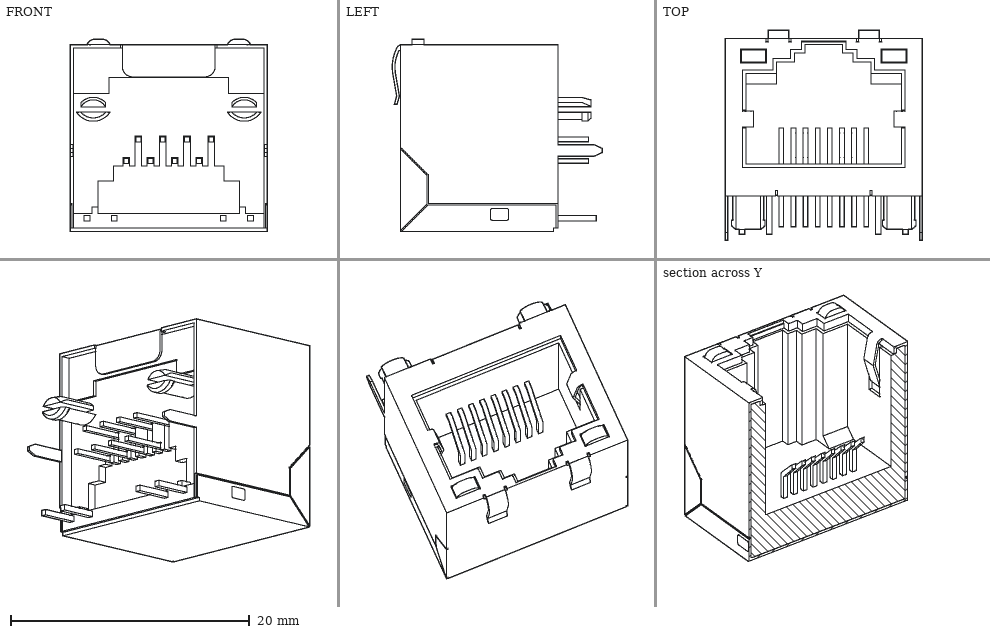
import cadquery as cq
import math


WIDTH = 16.5
DEPTH = 13.2
HEIGHT = 15.65
WALL = 0.3
SKIN = 0.14
SEAM_WIDTH = 0.1
SEAM_TOP = 7.0
FOLD_REACH = 2.29
FLAP_SETBACK = 0.15
FLOOR_SETBACK = 0.37
LIP_DROP = 0.74

FRONT_FLAP_WIDTH = 7.77
FRONT_FLAP_BOTTOM = 12.95
FRONT_FLAP_SHEET = 0.21
FRONT_FLAP_CORNER = 0.88
FRONT_FLAP_BEND = 0.33
RELIEF_WIDTH = 0.14

TAB_SHEET = 0.23
TAB_LENGTH = 3.71
TAB_CENTRE_Z = 6.79
TAB_WIDTH = 0.99
TAB_POINT = 0.69
TAB_TIP_WIDTH = 0.35

REAR_SPRING_X = 3.78
REAR_SPRING_WIDTH = 1.72
REAR_SPRING_SHEET = 0.25
REAR_SPRING_BULGE = 0.69
REAR_NOTCH_WIDTH = 0.2
REAR_NOTCH_DEPTH = 0.26

SIDE_SPRING_Y = 6.44
SIDE_SPRING_WIDTH = 1.34
SIDE_SPRING_SHEET = 0.21
SIDE_SPRING_BEND = 0.56
SIDE_SPRING_KINK = 13.3
SIDE_SPRING_REACH = 0.91
SIDE_SPRING_END = 10.9

WINDOW_CENTRE = (4.89, 1.45)
WINDOW_SIZE = (1.53, 0.99)
WINDOW_CORNER = 0.15

FACE_Y = 1.09
BLOCK_Y = 0.83
BLOCK_BOTTOM = 11.57
BLOCK_MIDDLE_BOTTOM = 12.88
BLOCK_NOTCH_WIDTH = 10.03
FOOT_Y = 0.07
FOOT_TOP = 1.51
FOOT_POST_WIDTH = 0.53
FOOT_POST_TOP = 2.04

CAVITY_FRONT = 2.67
CAVITY_STEPS = [(6.49, 10.24), (3.95, 11.22), (2.46, 11.96), (1.55, 12.68)]
CAVITY_FLOOR = 4.0
RAMP_SIZE = 0.85
SPRING_SLOT_CLEARANCE = 0.09
SPRING_SLOT_BOTTOM = 10.03

POCKET_BACK = 1.86
POCKET_HALF_WIDTH = 5.91
POCKET_TOP = 4.22
POCKET_STEP_HALF_WIDTH = 4.63
POCKET_STEP_TOP = 5.5

CONTACT_COUNT = 8
CONTACT_PITCH = 1.017
CONTACT_SIZE = 0.4
PIN_END_Y = -2.57
PIN_ROW_Z = (5.91, 7.72)
PIN_SLOT_WIDTH = 0.56
PIN_SLOT_MARGIN = 0.07
BLADE_TOP = 8.8
BLADE_FLAT = 0.55
BLADE_BACK = 5.68
BLADE_ROUND = 0.63

SHELL_PIN_X = (4.55, 6.85)
SHELL_PIN_SIZE = 0.47
SHELL_PIN_Z = 1.13
SHELL_PIN_END_Y = -3.2

PEG_X = 6.31
PEG_END_Y = -2.78
PEG_TIP_Y = -2.0
PEG_TIP_DROP = 0.21
UPPER_PEG_BOTTOM = 10.45
UPPER_PEG_TOP = 11.24
UPPER_PEG_WIDTH = 2.04
UPPER_PEG_SIDE = 0.35
LOWER_PEG_TOP = 10.0
LOWER_PEG_WIDTH = 2.6
LOWER_PEG_DEPTH = 0.65
PEG_LIP_WIDTH = 2.81
PEG_LIP_DEPTH = 0.77
PEG_LIP_CHAMFER = 0.28

LATCH_X = 5.88
LATCH_Y = 11.71
LATCH_WIDTH = 2.04
LATCH_DEPTH = 1.02
LATCH_TOP = 16.11
LATCH_ROUND = 0.74
LATCH_GAP = 0.07

HALF_WIDTH = WIDTH / 2
INNER_HALF = HALF_WIDTH - WALL
CEILING = HEIGHT - WALL
LIP_BOTTOM = HEIGHT - LIP_DROP
OPENING_HALF = CAVITY_STEPS[0][0] + WALL


def block(x0, x1, y0, y1, z0, z1):
    """Axis-aligned box between the given limits."""
    return cq.Workplane("XY").box(x1 - x0, y1 - y0, z1 - z0, centered=False).translate((x0, y0, z0))


def centred_block(half_width, y0, y1, z0, z1):
    return block(-half_width, half_width, y0, y1, z0, z1)


def stepped_prism(growth, z0, z1):
    """Stepped plug-shaped prism, grown outwards by `growth` on every side."""
    prism = None
    for half_width, rear in CAVITY_STEPS:
        step = centred_block(half_width + growth, CAVITY_FRONT - growth, rear + growth, z0, z1)
        prism = step if prism is None else prism.union(step)
    return prism


def both_sides(body):
    """The body together with its mirror image in X."""
    return body.union(body.mirror("YZ"))


def extrude_yz(outline, x0, x1):
    """Extrude a closed YZ outline from x0 to x1."""
    return outline.extrude(x1 - x0).translate((x0, 0, 0))


def extrude_xz(outline, y0, y1):
    """Extrude a closed XZ outline from y0 to y1."""
    return outline.extrude(y0 - y1).translate((0, y0, 0))


def opening_lip():
    """Lip hanging from the top all around the plug opening."""
    ring = stepped_prism(2 * WALL, LIP_BOTTOM, CEILING).cut(stepped_prism(WALL, LIP_BOTTOM, CEILING))
    return ring.intersect(centred_block(HALF_WIDTH, 0, DEPTH, 0, HEIGHT))


def shield_shell():
    shell = centred_block(HALF_WIDTH, 0, DEPTH, 0, HEIGHT)
    shell = shell.cut(centred_block(INNER_HALF, 0, DEPTH - WALL, WALL, CEILING))
    shell = shell.cut(stepped_prism(WALL, CEILING, HEIGHT))
    return shell.union(opening_lip())


def seam(start, end):
    """Straight seam groove in the +X side wall between two YZ points."""
    dy = end[0] - start[0]
    dz = end[1] - start[1]
    middle = ((start[0] + end[0]) / 2, (start[1] + end[1]) / 2)
    outline = (
        cq.Workplane("YZ")
        .center(*middle)
        .transformed(rotate=(0, 0, math.degrees(math.atan2(dz, dy))))
        .rect(math.hypot(dy, dz) + SEAM_WIDTH, SEAM_WIDTH)
    )
    return extrude_yz(outline, HALF_WIDTH - SKIN, HALF_WIDTH)


def fold_seams():
    corner = (DEPTH - FOLD_REACH, FOLD_REACH)
    back_bend = (DEPTH - FOLD_REACH, SEAM_TOP - FOLD_REACH)
    grooves = seam((DEPTH, SEAM_TOP), back_bend)
    grooves = grooves.union(seam(back_bend, corner))
    grooves = grooves.union(seam(corner, (0, FOLD_REACH)))
    grooves = grooves.union(seam((DEPTH, 0), corner))
    flap_end = block(HALF_WIDTH - SKIN, HALF_WIDTH, 0, FLAP_SETBACK, 0, FOLD_REACH)
    return both_sides(grooves.union(flap_end))


def window_prism():
    outline = cq.Workplane("YZ").center(*WINDOW_CENTRE).rect(*WINDOW_SIZE)
    prism = extrude_yz(outline, INNER_HALF, HALF_WIDTH).edges("|X").fillet(WINDOW_CORNER)
    return both_sides(prism)


def front_flap_reliefs():
    """Notches beside the bend of the front flap."""
    half = FRONT_FLAP_WIDTH / 2
    return both_sides(block(half, half + RELIEF_WIDTH, 0, FRONT_FLAP_BEND + RELIEF_WIDTH, CEILING, HEIGHT))


def front_flap():
    half = FRONT_FLAP_WIDTH / 2
    flap = centred_block(half, 0, FRONT_FLAP_SHEET, FRONT_FLAP_BOTTOM, HEIGHT)
    return flap.edges("|Y and <Z").fillet(FRONT_FLAP_CORNER)


def front_flap_bend():
    """Sliver removed to round the outside of the front flap's bend."""
    half = FRONT_FLAP_WIDTH / 2
    corner = centred_block(half, 0, FRONT_FLAP_BEND, HEIGHT - FRONT_FLAP_BEND, HEIGHT)
    rounded = (
        cq.Workplane("YZ")
        .center(FRONT_FLAP_BEND, HEIGHT - FRONT_FLAP_BEND)
        .circle(FRONT_FLAP_BEND)
        .extrude(half, both=True)
    )
    return corner.cut(rounded)


def board_tabs():
    half = TAB_WIDTH / 2
    tip_half = TAB_TIP_WIDTH / 2
    outline = (
        cq.Workplane("YZ")
        .moveTo(0, TAB_CENTRE_Z - half)
        .lineTo(TAB_POINT - TAB_LENGTH, TAB_CENTRE_Z - half)
        .lineTo(-TAB_LENGTH, TAB_CENTRE_Z - tip_half)
        .lineTo(-TAB_LENGTH, TAB_CENTRE_Z + tip_half)
        .lineTo(TAB_POINT - TAB_LENGTH, TAB_CENTRE_Z + half)
        .lineTo(0, TAB_CENTRE_Z + half)
        .close()
    )
    return both_sides(extrude_yz(outline, HALF_WIDTH - TAB_SHEET, HALF_WIDTH))


def rear_springs():
    """Bowed grounding springs that leave the top rear edge."""
    sheet = REAR_SPRING_SHEET
    shoulder = (DEPTH + 0.37, 15.23)
    crest = (DEPTH + REAR_SPRING_BULGE, 13.9)
    crest_end = (DEPTH + 0.65, 13.26)
    knee = (DEPTH + 0.32, 11.35)
    tip = (DEPTH + 0.51, 10.65)
    outline = (
        cq.Workplane("YZ")
        .moveTo(DEPTH - WALL, HEIGHT)
        .lineTo(DEPTH - 0.09, HEIGHT)
        .threePointArc((DEPTH + 0.2, 15.51), shoulder)
        .threePointArc(crest, crest_end)
        .lineTo(*knee)
        .lineTo(*tip)
        .lineTo(tip[0] - sheet, tip[1])
        .lineTo(knee[0] - sheet, knee[1])
        .lineTo(crest_end[0] - sheet, crest_end[1])
        .threePointArc((crest[0] - sheet, crest[1]), (shoulder[0] - sheet, shoulder[1] - sheet / 2))
        .lineTo(DEPTH, HEIGHT - 2 * sheet)
        .lineTo(DEPTH - WALL, HEIGHT - 2 * sheet)
        .close()
    )
    half = REAR_SPRING_WIDTH / 2
    return both_sides(extrude_yz(outline, REAR_SPRING_X - half, REAR_SPRING_X + half))


def rear_spring_notches():
    half = REAR_SPRING_WIDTH / 2
    notches = None
    for left in (REAR_SPRING_X - half - REAR_NOTCH_WIDTH, REAR_SPRING_X + half):
        notch = block(left, left + REAR_NOTCH_WIDTH, DEPTH - REAR_NOTCH_DEPTH, DEPTH, CEILING, HEIGHT)
        notches = notch if notches is None else notches.union(notch)
    return both_sides(notches)


def side_springs():
    """Springs bent from the opening edge down into the plug cavity."""
    sheet = SIDE_SPRING_SHEET
    bend = SIDE_SPRING_BEND
    diagonal = math.sqrt(0.5)
    bend_z = HEIGHT - bend
    kink_x = OPENING_HALF - SIDE_SPRING_REACH
    outline = (
        cq.Workplane("XZ")
        .moveTo(OPENING_HALF + WALL, HEIGHT)
        .lineTo(OPENING_HALF, HEIGHT)
        .threePointArc((OPENING_HALF - bend * diagonal, bend_z + bend * diagonal), (OPENING_HALF - bend, bend_z))
        .lineTo(kink_x, SIDE_SPRING_KINK)
        .lineTo(OPENING_HALF - sheet, SIDE_SPRING_END)
        .lineTo(OPENING_HALF, SIDE_SPRING_END)
        .lineTo(kink_x + sheet, SIDE_SPRING_KINK)
        .lineTo(OPENING_HALF - bend + sheet, bend_z)
        .threePointArc(
            (OPENING_HALF - (bend - sheet) * diagonal, bend_z + (bend - sheet) * diagonal),
            (OPENING_HALF, HEIGHT - sheet),
        )
        .lineTo(OPENING_HALF + WALL, HEIGHT - sheet)
        .close()
    )
    half = SIDE_SPRING_WIDTH / 2
    return both_sides(extrude_xz(outline, SIDE_SPRING_Y - half, SIDE_SPRING_Y + half))


def latch_slots():
    half_x = LATCH_WIDTH / 2 + LATCH_GAP
    half_y = LATCH_DEPTH / 2 + LATCH_GAP
    return both_sides(
        block(LATCH_X - half_x, LATCH_X + half_x, LATCH_Y - half_y, LATCH_Y + half_y, CEILING, HEIGHT)
    )


def make_shield():
    shield = shield_shell().cut(fold_seams()).cut(window_prism()).cut(latch_slots())
    shield = shield.cut(centred_block(HALF_WIDTH, 0, FLOOR_SETBACK, 0, WALL))
    shield = shield.union(front_flap()).cut(front_flap_reliefs()).cut(front_flap_bend())
    shield = shield.cut(rear_spring_notches()).union(rear_springs())
    return shield.union(side_springs()).union(board_tabs())


def housing_block():
    body = centred_block(INNER_HALF, FACE_Y, DEPTH - WALL, WALL, CEILING)
    upper = centred_block(INNER_HALF, BLOCK_Y, FACE_Y, BLOCK_BOTTOM, CEILING)
    upper = upper.cut(centred_block(BLOCK_NOTCH_WIDTH / 2, BLOCK_Y, FACE_Y, BLOCK_BOTTOM, BLOCK_MIDDLE_BOTTOM))
    foot = centred_block(INNER_HALF, FOOT_Y, FACE_Y, WALL, FOOT_TOP)
    post_outer = POCKET_HALF_WIDTH + FOOT_POST_WIDTH
    posts = both_sides(block(POCKET_HALF_WIDTH, post_outer, FOOT_Y, FACE_Y, WALL, FOOT_POST_TOP))
    return body.union(upper).union(foot).union(posts)


def plug_cavity():
    cavity = stepped_prism(0, CAVITY_FLOOR, CEILING)
    half_width, rear = CAVITY_STEPS[0]
    ramp = (
        cq.Workplane("YZ")
        .moveTo(rear, CAVITY_FLOOR)
        .lineTo(rear, CAVITY_FLOOR + RAMP_SIZE)
        .lineTo(rear - RAMP_SIZE, CAVITY_FLOOR)
        .close()
    )
    cavity = cavity.cut(both_sides(extrude_yz(ramp, CAVITY_STEPS[1][0], half_width)))
    half_slot = SIDE_SPRING_WIDTH / 2 + SPRING_SLOT_CLEARANCE
    spring_slots = centred_block(
        OPENING_HALF, SIDE_SPRING_Y - half_slot, SIDE_SPRING_Y + half_slot, SPRING_SLOT_BOTTOM, CEILING
    )
    return cavity.union(spring_slots)


def lip_recess():
    """Room for the shield lip around the top of the cavity."""
    return stepped_prism(2 * WALL, LIP_BOTTOM, CEILING)


def contact_places():
    """X position and pin height of every contact; the pins alternate between two rows."""
    middle = (CONTACT_COUNT - 1) / 2
    return [((i - middle) * CONTACT_PITCH, PIN_ROW_Z[i % 2]) for i in range(CONTACT_COUNT)]


def contact_pocket():
    pocket = centred_block(POCKET_HALF_WIDTH, FOOT_Y, POCKET_BACK, FOOT_TOP, POCKET_TOP)
    pocket = pocket.union(
        centred_block(POCKET_STEP_HALF_WIDTH, FOOT_Y, POCKET_BACK, POCKET_TOP, POCKET_STEP_TOP)
    )
    half_slot = PIN_SLOT_WIDTH / 2
    for x, z in contact_places():
        slot_top = z + CONTACT_SIZE / 2 + PIN_SLOT_MARGIN
        pocket = pocket.union(block(x - half_slot, x + half_slot, FOOT_Y, POCKET_BACK, POCKET_STEP_TOP, slot_top))
    return pocket


def contact(x, z):
    """Board pin and plug blade of one contact."""
    half = CONTACT_SIZE / 2
    pin = block(x - half, x + half, PIN_END_Y, POCKET_BACK, z - half, z + half)
    slope_start = CAVITY_FRONT + BLADE_FLAT
    slope_end_z = BLADE_TOP - (BLADE_BACK - slope_start)
    outline = (
        cq.Workplane("YZ")
        .moveTo(CAVITY_FRONT, BLADE_TOP)
        .lineTo(slope_start, BLADE_TOP)
        .lineTo(BLADE_BACK, slope_end_z)
        .lineTo(BLADE_BACK, CAVITY_FLOOR)
        .lineTo(BLADE_BACK - CONTACT_SIZE, CAVITY_FLOOR)
        .lineTo(BLADE_BACK - CONTACT_SIZE, slope_end_z - CONTACT_SIZE / 2)
        .lineTo(slope_start, BLADE_TOP - CONTACT_SIZE)
        .lineTo(CAVITY_FRONT, BLADE_TOP - CONTACT_SIZE)
        .close()
    )
    blade = extrude_yz(outline, x - half, x + half)
    for corner in ((x, slope_start, BLADE_TOP), (x, BLADE_BACK, slope_end_z)):
        blade = blade.edges(cq.selectors.NearestToPointSelector(corner)).fillet(BLADE_ROUND)
    return pin.union(blade)


def shell_pins():
    half = SHELL_PIN_SIZE / 2
    pins = None
    for x in SHELL_PIN_X:
        pin = block(x - half, x + half, SHELL_PIN_END_Y, FOOT_Y, SHELL_PIN_Z - half, SHELL_PIN_Z + half)
        pins = pin if pins is None else pins.union(pin)
    return both_sides(pins)


def upper_peg():
    """Flat-bottomed half peg with a domed top that slopes down at the tip."""
    half = UPPER_PEG_WIDTH / 2
    dome_start = UPPER_PEG_BOTTOM + UPPER_PEG_SIDE
    outline = (
        cq.Workplane("XZ")
        .moveTo(PEG_X - half, UPPER_PEG_BOTTOM)
        .lineTo(PEG_X - half, dome_start)
        .threePointArc((PEG_X, UPPER_PEG_TOP), (PEG_X + half, dome_start))
        .lineTo(PEG_X + half, UPPER_PEG_BOTTOM)
        .close()
    )
    peg = extrude_xz(outline, PEG_END_Y, FACE_Y)
    return peg.faces("<Y").edges("%CIRCLE").chamfer(PEG_TIP_Y - PEG_END_Y, PEG_TIP_DROP)


def peg_segment(width, depth, y0, y1):
    """Circular segment hanging below the flat top of the lower half peg."""
    outline = (
        cq.Workplane("XZ")
        .moveTo(PEG_X - width / 2, LOWER_PEG_TOP)
        .threePointArc((PEG_X, LOWER_PEG_TOP - depth), (PEG_X + width / 2, LOWER_PEG_TOP))
        .close()
    )
    return extrude_xz(outline, y0, y1)


def lower_peg():
    shank = peg_segment(LOWER_PEG_WIDTH, LOWER_PEG_DEPTH, PEG_TIP_Y, FACE_Y)
    lip = peg_segment(PEG_LIP_WIDTH, PEG_LIP_DEPTH, PEG_END_Y, PEG_TIP_Y)
    lip = lip.faces("<Y").edges("%CIRCLE").chamfer(PEG_LIP_CHAMFER)
    return shank.union(lip)


def latches():
    """Rounded noses that stand through the slots in the shield top."""
    half_x = LATCH_WIDTH / 2
    half_y = LATCH_DEPTH / 2
    nose = block(LATCH_X - half_x, LATCH_X + half_x, LATCH_Y - half_y, LATCH_Y + half_y, LIP_BOTTOM, LATCH_TOP)
    return both_sides(nose.edges("|Y and >Z").fillet(LATCH_ROUND))


def make_housing():
    housing = housing_block().cut(plug_cavity()).cut(lip_recess()).cut(contact_pocket())
    for x, z in contact_places():
        housing = housing.union(contact(x, z))
    housing = housing.union(both_sides(upper_peg().union(lower_peg())))
    return housing.union(shell_pins()).union(latches()).union(window_prism())


shield = make_shield()
housing = make_housing()
result = cq.Compound.makeCompound([*shield.vals(), *housing.vals()])